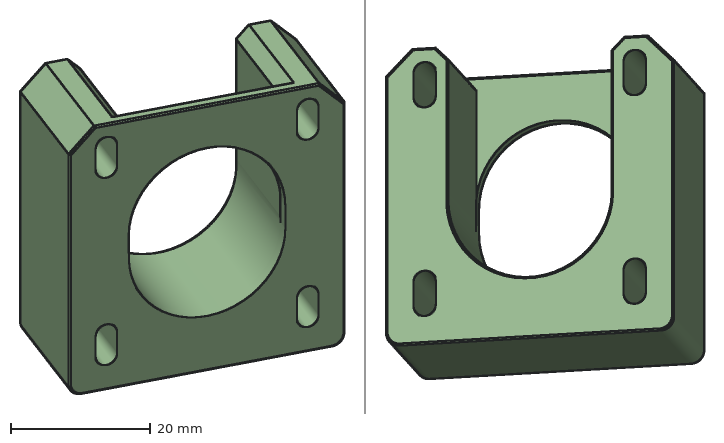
import cadquery as cq
import math

depth = 20.0
width = 42.5
height = 44.0
top_bevel = 3.9
bottom_radius = 2.0
edge_break = 0.25

back_wall = 2.0
bore_radius = 12.05
wall_half_gap = 12.0
pocket_center_z = 21.15
mouth_bevel = 2.0

window_stretch = 3.7

slot_width = 3.3
slot_length = 6.75
slot_spacing = 31.0

window_center_z = pocket_center_z + window_stretch / 2
pocket_depth = depth - back_wall


def make_block():
    """Block with beveled top corners, rounded bottom corners and broken end edges."""
    block = cq.Workplane("XY").box(depth, width, height, centered=(False, True, False))
    block = block.edges("|X and >Z").chamfer(top_bevel)
    block = block.edges("|X and <Z").fillet(bottom_radius)
    return block.faces("<X or >X").edges().chamfer(edge_break)


def pocket_profile(offset):
    """U outline with a flared top, grown outward by offset."""
    radius = bore_radius + offset
    half_gap = wall_half_gap + offset
    wall_end_z = pocket_center_z + math.sqrt(radius**2 - half_gap**2)
    flare_start = height - mouth_bevel
    flare_half_width = half_gap + mouth_bevel
    return (
        cq.Workplane("YZ")
        .moveTo(-half_gap, wall_end_z)
        .threePointArc((0, pocket_center_z - radius), (half_gap, wall_end_z))
        .lineTo(half_gap, flare_start)
        .lineTo(flare_half_width, height)
        .lineTo(-flare_half_width, height)
        .lineTo(-half_gap, flare_start)
        .close()
    )


def make_pocket():
    """Pocket with a broken edge around its mouth."""
    pocket = pocket_profile(0).extrude(pocket_depth)
    outer_wire = pocket_profile(edge_break).wire().val()
    inner_wire = pocket_profile(0).wire().val().translate(cq.Vector(edge_break, 0, 0))
    mouth = cq.Solid.makeLoft([outer_wire, inner_wire], True)
    return pocket.union(cq.Workplane(mouth))


def make_rim_break():
    """Wedge that breaks the inner top edge of the back wall."""
    return (
        cq.Workplane("XZ")
        .moveTo(pocket_depth, height)
        .lineTo(pocket_depth + edge_break, height)
        .lineTo(pocket_depth, height - edge_break)
        .close()
        .extrude(wall_half_gap + mouth_bevel, both=True)
    )


def vertical_slots(centers, length, slot_wide, start_x):
    """Round-ended slots from start_x to the back face, long axis along Z."""
    slots = cq.Workplane("YZ", origin=(start_x, 0, 0)).pushPoints(centers)
    return slots.slot2D(length, slot_wide, 90).extrude(depth - start_x)


slot_centers = [
    (side * slot_spacing / 2, window_center_z + level * slot_spacing / 2)
    for side in (-1, 1)
    for level in (-1, 1)
]
window_width = 2 * bore_radius
window_height = window_width + window_stretch
window = vertical_slots([(0, window_center_z)], window_height, window_width, pocket_depth)
mounting_slots = vertical_slots(slot_centers, slot_length, slot_width, 0)

result = make_block().cut(make_pocket()).cut(make_rim_break()).cut(mounting_slots)
result = result.cut(window, clean=False)